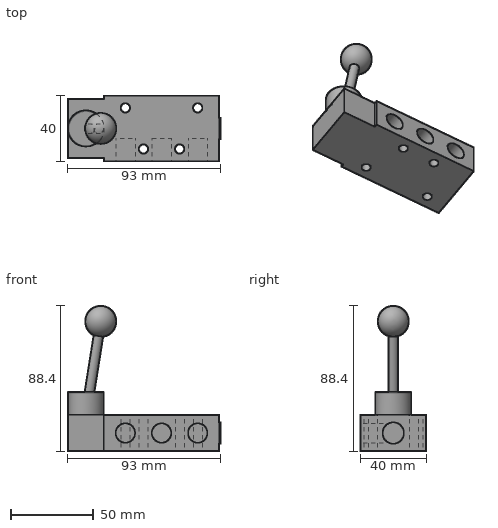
import cadquery as cq
import math

overall_length = 93.0
overall_height = 88.39

body_width = 40.0
body_height = 22.0
head_length = 22.0
head_width = 36.0

cap_diameter = 13.0
cap_height = 1.0
body_length = overall_length - cap_height

housing_diameter = head_length
housing_height = 14.0
housing_fillet = 0.5
housing_x = head_length / 2

lever_diameter = 6.0
lever_tilt = 9.0
ball_diameter = 19.0
ball_height = overall_height - ball_diameter / 2
lever_length = (ball_height - body_height) / math.cos(math.radians(lever_tilt))

port_diameter = 11.8
port_depth = 14.0
port_pitch = 22.0
port_count = 3
first_port_x = 35.0

mount_diameter = 5.5
mount_row_offset = 12.5
mount_centre_x = first_port_x + port_pitch
wide_pair_spacing = 2 * port_pitch
narrow_pair_spacing = port_pitch


def make_body():
    """Block and narrower head, resting on Z = 0 and centred on Y = 0."""
    head = cq.Workplane("XY").box(head_length, head_width, body_height, centered=(False, True, False))
    block_length = body_length - head_length
    block = cq.Workplane("XY").box(block_length, body_width, body_height, centered=(False, True, False))
    return head.union(block.translate((head_length, 0, 0)))


def make_end_cap():
    """Low disc on the +X face."""
    plane = cq.Workplane("YZ", origin=(body_length, 0, body_height / 2))
    return plane.circle(cap_diameter / 2).extrude(cap_height)


def make_housing():
    """Cylinder on the head with a rounded top rim."""
    plane = cq.Workplane("XY", origin=(housing_x, 0, body_height))
    housing = plane.circle(housing_diameter / 2).extrude(housing_height)
    return housing.faces(">Z").fillet(housing_fillet)


def make_lever():
    """Rod and ball, built upright at the pivot and then tilted about it."""
    rod = cq.Workplane("XY").circle(lever_diameter / 2).extrude(lever_length)
    ball = cq.Workplane("XY").sphere(ball_diameter / 2).translate((0, 0, lever_length))
    lever = rod.union(ball).rotate((0, 0, 0), (0, 1, 0), lever_tilt)
    return lever.translate((housing_x, 0, body_height))


def make_ports():
    """Row of cutters running inwards from the -Y face."""
    centres = [(first_port_x + i * port_pitch, body_height / 2) for i in range(port_count)]
    plane = cq.Workplane("XZ", origin=(0, -body_width / 2, 0))
    return plane.pushPoints(centres).circle(port_diameter / 2).extrude(-port_depth)


def make_mounting_holes():
    """Four cutters through the full height of the body."""
    centres = []
    for spacing, y in ((wide_pair_spacing, mount_row_offset), (narrow_pair_spacing, -mount_row_offset)):
        for side in (-1, 1):
            centres.append((mount_centre_x + side * spacing / 2, y))
    return cq.Workplane("XY").pushPoints(centres).circle(mount_diameter / 2).extrude(body_height)


body = make_body().cut(make_ports()).cut(make_mounting_holes())
result = body.union(make_end_cap()).union(make_housing()).union(make_lever())